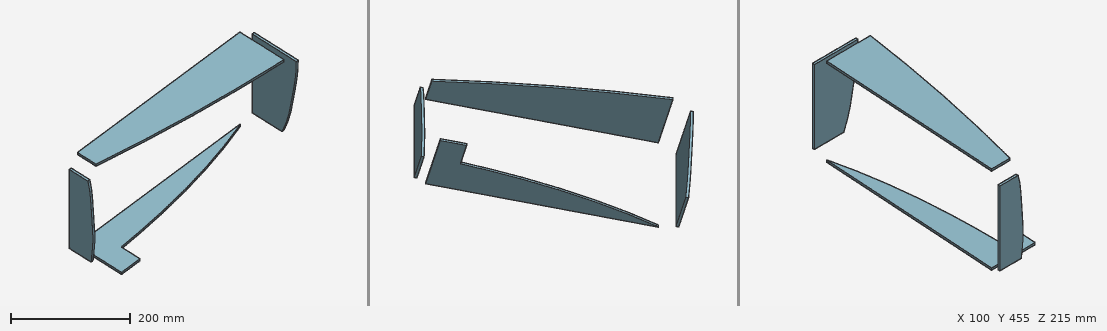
import cadquery as cq

thickness = 5.0
max_width = 100.0
overall_length = 455.0
long_length = 400.0
end_height = 180.0

front_gap = 15.0
bottom_gap = 5.0
top_gap = 20.0

long_front = thickness + front_gap
long_back = long_front + long_length
end_bottom = thickness + bottom_gap
top_bottom = end_bottom + end_height + top_gap

narrow_width = 42.5
top_mid_width = 77.5

bottom_tip_width = 1.0
bottom_edge = [(100.0, 26.5), (200.0, 43.5), (282.0, 53.0)]
foot_length = 45.5
foot_root_width = 58.0

back_base_width = 68.0
back_edge = [(40.5, 81.0), (95.0, 91.0), (161.0, 99.5)]
front_base_width = 49.5
front_edge = [(22.8, 52.0), (53.2, 53.5), (92.5, 52.0), (132.0, 49.0), (161.0, 46.5)]


def make_top_board():
    """Horizontal board that narrows toward the front along one arc."""
    return (
        cq.Workplane("XY", origin=(0, 0, top_bottom))
        .moveTo(0, long_front)
        .lineTo(narrow_width, long_front)
        .threePointArc((top_mid_width, (long_front + long_back) / 2), (max_width, long_back))
        .lineTo(0, long_back)
        .close()
        .extrude(thickness)
    )


def make_bottom_board():
    """Horizontal board that widens from a thin tip to a rectangular foot."""
    foot_back = long_front + foot_length
    edge = [(width, long_back - distance) for distance, width in bottom_edge]
    edge.append((foot_root_width, foot_back))
    return (
        cq.Workplane("XY")
        .moveTo(0, long_front)
        .lineTo(0, long_back)
        .lineTo(bottom_tip_width, long_back)
        .spline(edge, includeCurrent=True)
        .lineTo(max_width, foot_back)
        .lineTo(max_width, long_front)
        .close()
        .extrude(thickness)
    )


def make_end_board(front_y, base_width, edge, top_width):
    """Upright board with one straight edge and one smoothly curved edge."""
    curve = [(width, height) for height, width in edge]
    curve.append((top_width, end_height))
    return (
        cq.Workplane("XZ", origin=(0, front_y, end_bottom))
        .lineTo(base_width, 0)
        .spline(curve, includeCurrent=True)
        .lineTo(0, end_height)
        .close()
        .extrude(-thickness)
    )


top_board = make_top_board()
bottom_board = make_bottom_board()
front_board = make_end_board(0, front_base_width, front_edge, narrow_width)
back_board = make_end_board(overall_length - thickness, back_base_width, back_edge, max_width)

result = cq.Compound.makeCompound(
    [top_board.val(), bottom_board.val(), front_board.val(), back_board.val()]
)